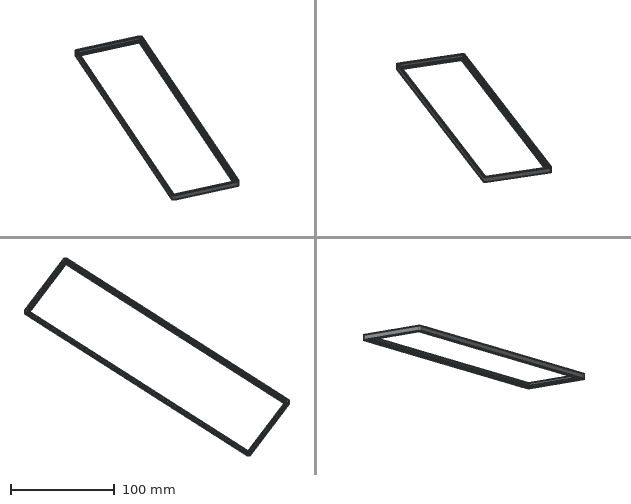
import cadquery as cq

length = 264.5
width = 69.0
height = 5.0
corner_radius = 2.0

rim_thickness = 2.0
ledge_reach = 1.5
ledge_height = 2.0


def inset_block(inset, bottom, top):
    """Sharp-cornered block lying a given distance inside the outer walls."""
    return (
        cq.Workplane("XY")
        .workplane(offset=bottom)
        .rect(length - 2 * inset, width - 2 * inset)
        .extrude(top - bottom)
    )


body = inset_block(0, 0, height).edges("|Z").fillet(corner_radius)

window = inset_block(rim_thickness + ledge_reach, 0, height)
seat = inset_block(rim_thickness, ledge_height, height)

result = body.cut(window).cut(seat)